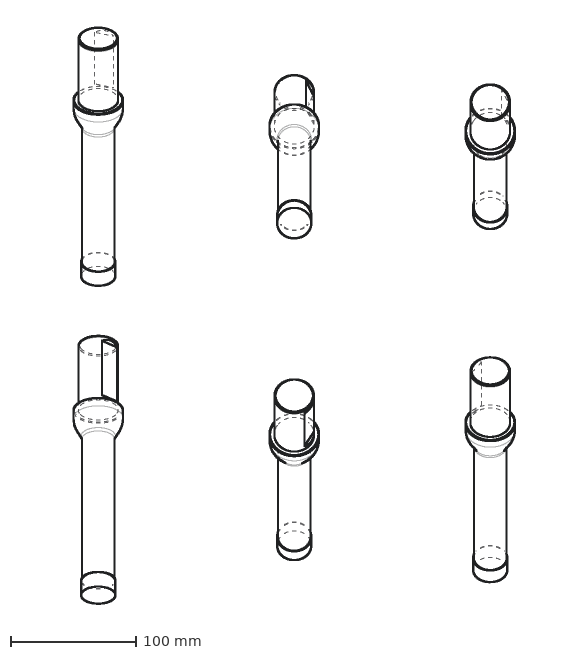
import cadquery as cq
import math

total_height = 235.0
shank_length = 60.0
collar_bottom_z = 167.3
neck_bottom_z = 148.0
head_top_z = 17.6
point_height = 4.0

shank_radius = 32.0 / 2
collar_radius = 40.0 / 2
body_radius = 26.3 / 2
head_radius = 27.5 / 2

shank_chamfer = 1.0
shank_lead_width = 0.12
shank_lead_height = 1.2
collar_chamfer = 0.7

taper_angle = math.radians(25)
neck_arc_radius = 6.5

flat_depth = 2.0
flat_top_margin = 3.0
flat_bottom_margin = 2.5

collar_top_z = total_height - shank_length


def arc_step(radius, angle):
    """Radial and axial travel along an arc that starts parallel to the axis."""
    return radius * (1 - math.cos(angle)), radius * math.sin(angle)


def revolve_profile(profile):
    """Turn a closed (radius, height) profile around the Z axis."""
    return profile.close().revolve(360, (0, 0, 0), (0, 1, 0))


def make_flat_cutter():
    """Trapezoidal prism that mills the clamping flat across the shank."""
    floor_y = shank_radius - flat_depth
    top_z = total_height - flat_top_margin
    bottom_z = collar_top_z + flat_bottom_margin
    return (
        cq.Workplane("YZ")
        .moveTo(shank_radius, bottom_z)
        .lineTo(floor_y, bottom_z + flat_depth)
        .lineTo(floor_y, top_z - flat_depth)
        .lineTo(shank_radius, top_z)
        .close()
        .extrude(shank_radius, both=True)
    )


def make_holder():
    """Shank, collar, curved taper and long body turned as one piece."""
    lead_top_radius = shank_radius - shank_lead_width
    lead_top_z = total_height - shank_chamfer

    neck_dr, neck_dz = arc_step(neck_arc_radius, taper_angle)
    neck_mid_dr, neck_mid_dz = arc_step(neck_arc_radius, taper_angle / 2)
    taper_end_radius = body_radius + neck_dr
    taper_end_z = neck_bottom_z + neck_dz
    taper_end_direction = (-math.sin(taper_angle), -math.cos(taper_angle))

    profile = (
        cq.Workplane("XZ")
        .moveTo(0, total_height)
        .lineTo(lead_top_radius - shank_chamfer, total_height)
        .lineTo(lead_top_radius, lead_top_z)
        .lineTo(shank_radius, lead_top_z - shank_lead_height)
        .lineTo(shank_radius, collar_top_z)
        .lineTo(collar_radius - collar_chamfer, collar_top_z)
        .lineTo(collar_radius, collar_top_z - collar_chamfer)
        .lineTo(collar_radius, collar_bottom_z)
        .spline(
            [(taper_end_radius, taper_end_z)],
            tangents=[(0, -1), taper_end_direction],
            includeCurrent=True,
        )
        .threePointArc(
            (body_radius + neck_mid_dr, neck_bottom_z + neck_mid_dz),
            (body_radius, neck_bottom_z),
        )
        .lineTo(body_radius, head_top_z)
        .lineTo(0, head_top_z)
    )
    return revolve_profile(profile).cut(make_flat_cutter())


def make_drill_head():
    """Cylindrical drill head with a conical point, seated on the holder's end face."""
    profile = (
        cq.Workplane("XZ")
        .moveTo(0, 0)
        .lineTo(head_radius, point_height)
        .lineTo(head_radius, head_top_z)
        .lineTo(0, head_top_z)
    )
    return revolve_profile(profile)


holder = make_holder()
drill_head = make_drill_head()

result = cq.Compound.makeCompound([holder.val(), drill_head.val()])